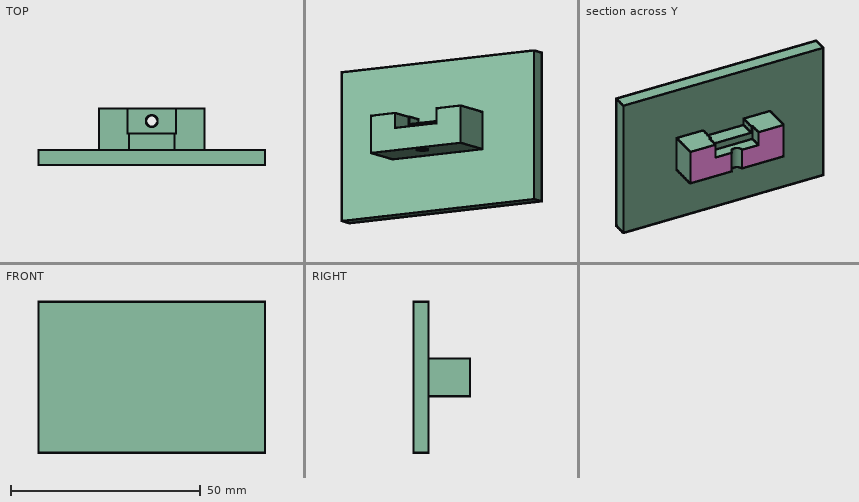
import cadquery as cq

plate_width = 60.0
plate_height = 40.0
plate_thickness = 4.0

total_depth = 15.0
block_width = 28.0
block_height = 10.0
block_depth = total_depth - plate_thickness

outer_recess_width = 12.85
outer_recess_length = 6.65
outer_recess_drop = 4.0
inner_recess_width = 12.1
inner_recess_length = block_depth - outer_recess_length
inner_recess_drop = 2.0

hole_diameter = 3.0
hole_y = total_depth - outer_recess_length / 2

block_top = block_height / 2


def box_behind(front_y, width, length, height, top_z):
    """Box centred on X, running back from front_y and down from top_z."""
    box = cq.Workplane("XY").box(width, length, height, centered=(True, False, False))
    return box.translate((0, front_y, top_z - height))


plate = box_behind(0, plate_width, plate_thickness, plate_height, plate_height / 2)
block = box_behind(plate_thickness, block_width, block_depth, block_height, block_top)

inner_recess = box_behind(
    plate_thickness, inner_recess_width, inner_recess_length, inner_recess_drop, block_top
)
outer_recess = box_behind(
    total_depth - outer_recess_length,
    outer_recess_width,
    outer_recess_length,
    outer_recess_drop,
    block_top,
)
hole = (
    cq.Workplane("XY", origin=(0, hole_y, -block_top))
    .circle(hole_diameter / 2)
    .extrude(block_height)
)

result = plate.union(block.cut(inner_recess).cut(outer_recess).cut(hole))